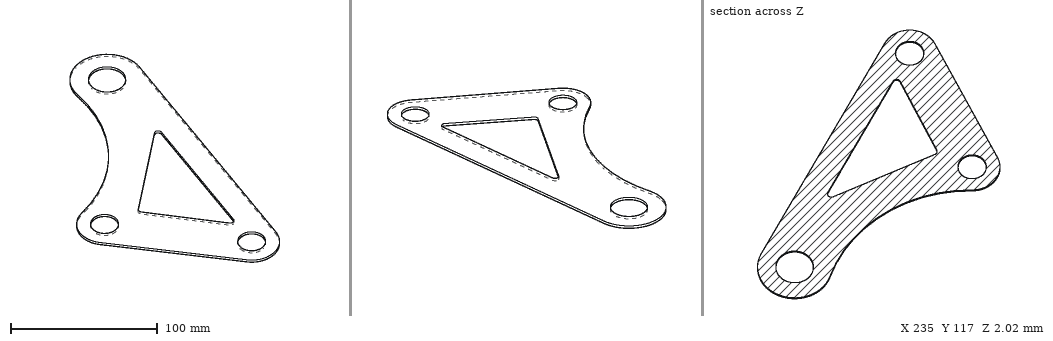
import cadquery as cq
import math

length = 235.0
width = 117.0
thickness = 2.02
large_hole_diameter = 25.4
small_hole_diameter = 19.0
large_lobe_radius = large_hole_diameter
small_lobe_radius = small_hole_diameter
lower_hole_x = 126.5
concave_radius = 100.0

window_left_x = 56.9
window_right_x = 170.5
window_tip_x = 126.5
window_tip_y = -46.8
window_corner_radius = 2.5

large_centre = (0.0, 0.0)
right_centre = (
    length - large_lobe_radius - small_lobe_radius,
    large_lobe_radius - small_lobe_radius,
)
lower_centre = (lower_hole_x, large_lobe_radius - width + small_lobe_radius)


def polar(centre, radius, angle):
    """Point at a given radius and angle (radians) from a centre."""
    return (
        centre[0] + radius * math.cos(angle),
        centre[1] + radius * math.sin(angle),
    )


def direction(start, end):
    """Angle in radians of the line from start to end."""
    return math.atan2(end[1] - start[1], end[0] - start[0])


def concave_centre():
    """Centre below the plate of the arc tangent to the large and lower lobes."""
    to_large = concave_radius + large_lobe_radius
    to_lower = concave_radius + small_lobe_radius
    spacing = math.dist(large_centre, lower_centre)
    cosine = (to_large**2 + spacing**2 - to_lower**2) / (2 * to_large * spacing)
    angle = direction(large_centre, lower_centre) - math.acos(cosine)
    return polar(large_centre, to_large, angle)


def plate():
    """Three rounded lobes joined by two straight edges and a concave arc."""
    arc_centre = concave_centre()
    large_angle = direction(arc_centre, large_centre)
    lower_angle = direction(arc_centre, lower_centre)
    edge_normal = direction(lower_centre, right_centre) - math.pi / 2
    top = math.pi / 2

    return (
        cq.Workplane("XY")
        .moveTo(*polar(large_centre, large_lobe_radius, top))
        .lineTo(*polar(right_centre, small_lobe_radius, top))
        .threePointArc(
            polar(right_centre, small_lobe_radius, (top + edge_normal) / 2),
            polar(right_centre, small_lobe_radius, edge_normal),
        )
        .lineTo(*polar(lower_centre, small_lobe_radius, edge_normal))
        .threePointArc(
            polar(lower_centre, small_lobe_radius, -math.pi / 2),
            polar(arc_centre, concave_radius, lower_angle),
        )
        .threePointArc(
            polar(arc_centre, concave_radius, (lower_angle + large_angle) / 2),
            polar(arc_centre, concave_radius, large_angle),
        )
        .threePointArc(
            polar(large_centre, large_lobe_radius, math.pi),
            polar(large_centre, large_lobe_radius, top),
        )
        .close()
        .extrude(thickness)
    )


def window():
    """Triangular cutter with rounded corners, its top edge level with the right hole."""
    top_y = right_centre[1]
    corners = [
        (window_left_x, top_y),
        (window_right_x, top_y),
        (window_tip_x, window_tip_y),
    ]
    return (
        cq.Workplane("XY")
        .polyline(corners)
        .close()
        .extrude(thickness)
        .edges("|Z")
        .fillet(window_corner_radius)
    )


def hole(centre, diameter):
    """Cylindrical cutter through the plate."""
    return cq.Workplane("XY").center(*centre).circle(diameter / 2).extrude(thickness)


result = plate().cut(window()).cut(hole(large_centre, large_hole_diameter))
for small_centre in (right_centre, lower_centre):
    result = result.cut(hole(small_centre, small_hole_diameter))